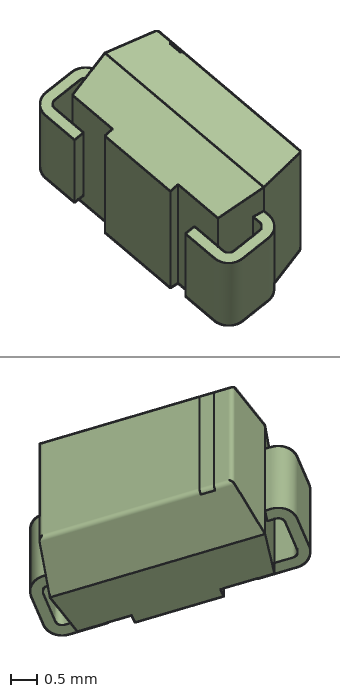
import cadquery as cq
import math

parting_width = 4.33
parting_height = 3.62
back_depth = 1.215
front_depth = 1.23
draft_angle = 10.0
back_edge_radius = 0.095
pad_width = 1.785
pad_step = 0.2

lead_span = 5.35
lead_front = 1.435
lead_thickness = 0.24
lead_height = 2.065
bend_radius = 0.38
foot_gap = 3.02

band_left = -1.57
band_width = 0.29
band_depth = back_edge_radius * (1 - math.sin(math.radians(draft_angle)))


def box_between(x_min, x_max, y_min, y_max, height):
    """Box centred on Z = 0, given its X and Y limits."""
    return (
        cq.Workplane("XY", origin=((x_min + x_max) / 2, (y_min + y_max) / 2, 0))
        .box(x_max - x_min, y_max - y_min, height)
    )


def drafted_half(depth):
    """Half of the housing, narrowing along -Y from the parting plane."""
    return (
        cq.Workplane("XZ")
        .rect(parting_width, parting_height)
        .extrude(depth, taper=draft_angle)
    )


def make_moulding():
    """Housing outline before the polarity band is let into it."""
    back = (
        drafted_half(back_depth)
        .mirror("XZ")
        .faces(">Y").edges()
        .fillet(back_edge_radius)
    )
    front = drafted_half(front_depth)
    pad_face = -front_depth
    flank_face = pad_face + pad_step
    for left, right in ((-parting_width, -pad_width), (pad_width, parting_width)):
        flank = box_between(left / 2, right / 2, pad_face, flank_face, parting_height)
        front = front.cut(flank)
    return back.union(front)


def make_band(moulding):
    """Strip across the back face that follows the rounded edges at both ends."""
    slot = box_between(
        band_left, band_left + band_width, back_depth - band_depth, back_depth, parting_height
    )
    return moulding.intersect(slot)


def make_lead(side, moulding):
    """C-shaped lead on the left (side = -1) or right (side = 1), ending on the drafted housing wall."""
    outer_x = lead_span / 2
    tip_x = foot_gap / 2
    inner_x = outer_x - lead_thickness
    outline = box_between(tip_x, outer_x, -lead_front, 0, lead_height)
    outline = outline.edges("|Z and >X").fillet(bend_radius)
    opening = box_between(
        tip_x, inner_x, lead_thickness - lead_front, -lead_thickness, lead_height
    )
    opening = opening.edges("|Z and >X").fillet(bend_radius - lead_thickness)
    lead = outline.cut(opening).cut(moulding)
    return lead if side > 0 else lead.mirror("YZ")


moulding = make_moulding()
band = make_band(moulding)
housing = moulding.cut(band)
leads = [make_lead(side, moulding).val() for side in (-1, 1)]

result = cq.Compound.makeCompound([housing.val(), band.val(), *leads])